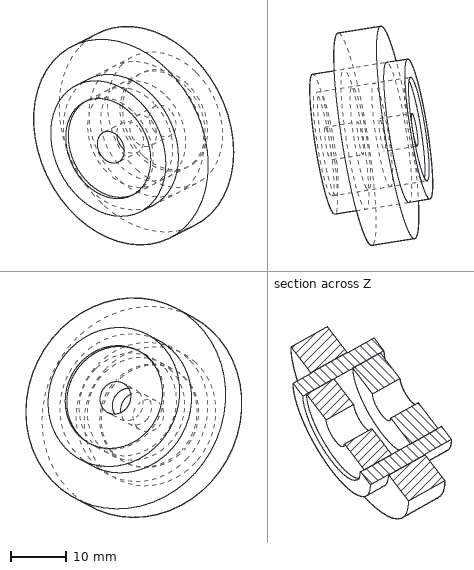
import cadquery as cq

tyre_diameter = 39.0
tyre_width = 7.9
hub_diameter = 25.7
hub_front_length = 3.9
hub_rear_length = 5.77
bearing_diameter = 19.0
bearing_bore = 6.0
bearing_width = 6.0
bearing_recess = 0.78

hub_length = hub_front_length + tyre_width + hub_rear_length
hub_front = -hub_length / 2
tyre_front = hub_front + hub_front_length
front_bearing_start = hub_front + bearing_recess
rear_bearing_start = hub_front + hub_length - bearing_recess - bearing_width


def ring(outer_diameter, inner_diameter, start, length):
    """Plain ring around the Y axis, running from start toward +Y."""
    return (
        cq.Workplane("XZ", origin=(0, start, 0))
        .circle(outer_diameter / 2)
        .circle(inner_diameter / 2)
        .extrude(-length)
    )


def make_tyre():
    """Outer ring fitted around the hub."""
    return ring(tyre_diameter, hub_diameter, tyre_front, tyre_width)


def make_hub():
    """Sleeve with a straight bore that seats a bearing at each end."""
    return ring(hub_diameter, bearing_diameter, hub_front, hub_length)


def make_bearing(start):
    """Bearing as a solid ring, open only at its shaft bore."""
    return ring(bearing_diameter, bearing_bore, start, bearing_width)


tyre = make_tyre()
hub = make_hub()
bearings = [make_bearing(start) for start in (front_bearing_start, rear_bearing_start)]

result = cq.Compound.makeCompound(
    [tyre.val(), hub.val(), *[bearing.val() for bearing in bearings]]
)